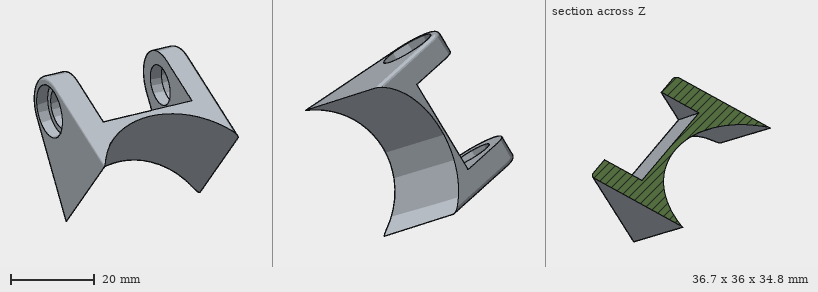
import cadquery as cq
import math


width = 36.0
lug_gap = 24.0
lug_radius = 8.5
rim_fillet = 1.0

upper_flank_angle = 21.8
lower_flank_angle = 55.4
lower_overrun_angle = 3.0

bore_diameter = 10.0
counterbore_diameter = 13.0
counterbore_depth = 3.0

tube_radius = 20.0
tube_distance = 32.0
tube_offset_y = -0.15
tube_direction_angle = 40.0

floor_distance = 10.73
floor_angle = (upper_flank_angle + lower_flank_angle) / 2

reach = 80.0


def polar(distance, degrees):
    """Point in the XZ plane at a distance and angle from the bore axis."""
    angle = math.radians(degrees)
    return (distance * math.cos(angle), distance * math.sin(angle))


def flank_end(start, flank_angle):
    """Far end of a flank that starts at a given point on the lug round."""
    run, rise = polar(reach, -flank_angle)
    return (start[0] + run, start[1] + rise)


def make_body():
    """Wedge with a round nose, with both outer rims rounded over."""
    upper_start = polar(lug_radius, 90 - upper_flank_angle)
    lower_start = polar(lug_radius, -90 - lower_flank_angle + lower_overrun_angle)
    nose = polar(lug_radius, 180 - floor_angle)
    body = (
        cq.Workplane("XZ")
        .moveTo(*flank_end(upper_start, upper_flank_angle))
        .lineTo(*upper_start)
        .threePointArc(nose, lower_start)
        .lineTo(*flank_end(lower_start, lower_flank_angle))
        .close()
        .extrude(width / 2, both=True)
    )
    return body.faces("<Y or >Y").edges().fillet(rim_fillet)


def make_saddle_cutter():
    """Tube that forms the saddle, plus everything beyond the tube axis."""
    tube = (
        cq.Workplane("XY")
        .center(tube_distance, tube_offset_y)
        .circle(tube_radius)
        .extrude(reach, both=True)
    )
    beyond = cq.Workplane("XY").box(2 * reach, 2 * reach, 2 * reach, centered=(False, True, True))
    cutter = tube.union(beyond.translate((tube_distance, 0, 0)))
    return cutter.rotate((0, 0, 0), (0, 1, 0), tube_direction_angle)


def make_pocket_cutter():
    """Block that clears the gap between the lugs down to the flat floor."""
    block = cq.Workplane("XY").box(reach, lug_gap, reach)
    block = block.translate((floor_distance - reach / 2, 0, 0))
    return block.rotate((0, 0, 0), (0, 1, 0), floor_angle)


def make_bore_cutter():
    """Through bore with a counterbore sunk into each outer face."""
    cutter = cq.Workplane("XZ").circle(bore_diameter / 2).extrude(width / 2, both=True)
    for side in (-1, 1):
        counterbore = (
            cq.Workplane("XZ", origin=(0, side * width / 2, 0))
            .circle(counterbore_diameter / 2)
            .extrude(side * counterbore_depth)
        )
        cutter = cutter.union(counterbore)
    return cutter


result = (
    make_body()
    .cut(make_saddle_cutter())
    .cut(make_pocket_cutter())
    .cut(make_bore_cutter())
)